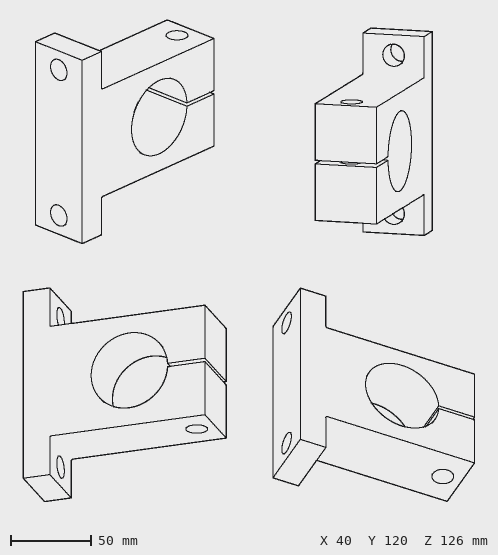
import cadquery as cq

width = 40.0
flange_height = 126.0
flange_thickness = 17.6
total_depth = 120.0

body_height = 74.0
corner_fillet = 1.0

bore_diameter = 50.4
bore_from_base = 70.0
slit_width = 2.3

mounting_hole_diameter = 14.0
mounting_hole_spacing = 100.0
clamp_hole_diameter = 13.5
clamp_hole_from_end = 12.5

base_y = -total_depth / 2
end_y = total_depth / 2
bore_y = base_y + bore_from_base


def block(y_start, y_end, height):
    """Full-width block centred on X and Z between two Y positions."""
    length = y_end - y_start
    return cq.Workplane("XY").box(width, length, height).translate((0, y_start + length / 2, 0))


flange = block(base_y, base_y + flange_thickness, flange_height)
body = block(base_y, end_y, body_height)
bracket = flange.union(body)
inner_corners = cq.selectors.BoxSelector(
    (-width, base_y + flange_thickness - corner_fillet, -body_height / 2 - corner_fillet),
    (width, base_y + flange_thickness + corner_fillet, body_height / 2 + corner_fillet),
)
bracket = bracket.edges("|X").edges(inner_corners).fillet(corner_fillet)

bore = cq.Workplane("YZ").center(bore_y, 0).circle(bore_diameter / 2).extrude(width / 2, both=True)
slit = block(bore_y, end_y, slit_width)

mounting_holes = (
    cq.Workplane("XZ", origin=(0, base_y, 0))
    .rarray(1.3, mounting_hole_spacing, 1, 2)
    .circle(mounting_hole_diameter / 2)
    .extrude(-flange_thickness)
)

clamp_hole = (
    cq.Workplane("XY")
    .center(0, end_y - clamp_hole_from_end)
    .circle(clamp_hole_diameter / 2)
    .extrude(body_height / 2, both=True)
)

result = bracket.cut(bore).cut(slit).cut(mounting_holes).cut(clamp_hole)